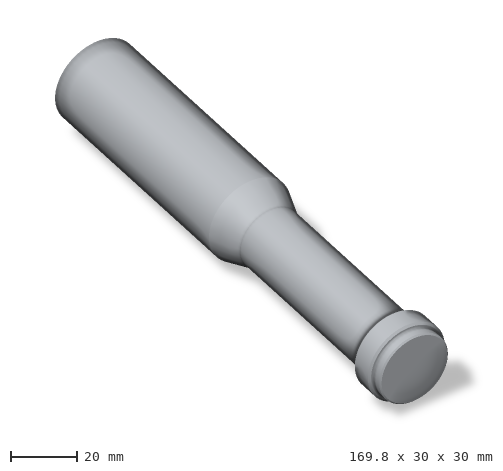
import cadquery as cq

total_length = 169.8
handle_diameter = 30.0
shaft_diameter = 22.0
collar_diameter = 28.2
tip_diameter = 25.1

handle_end = 82.0
taper_end = 92.7
collar_start = 157.7
collar_end = 166.0

collar_chamfer = 0.7
tip_chamfer = 0.5
collar_tip_fillet = 0.5


def cylinder(start, end, diameter):
    """Solid cylinder along X between two positions."""
    return cq.Workplane("YZ", origin=(start, 0, 0)).circle(diameter / 2).extrude(end - start)


def taper(start, end, start_diameter, end_diameter):
    """Solid cone along X joining two diameters."""
    return (
        cq.Workplane("XY")
        .moveTo(start, 0)
        .lineTo(start, start_diameter / 2)
        .lineTo(end, end_diameter / 2)
        .lineTo(end, 0)
        .close()
        .revolve(360, (0, 0, 0), (1, 0, 0))
    )


handle = cylinder(0, handle_end, handle_diameter)
neck = taper(handle_end, taper_end, handle_diameter, shaft_diameter)
shaft = cylinder(taper_end, collar_start, shaft_diameter)

collar = cylinder(collar_start, collar_end, collar_diameter).faces("<X or >X").chamfer(collar_chamfer)
tip = cylinder(collar_end, total_length, tip_diameter).faces(">X").chamfer(tip_chamfer)

result = handle.union(neck).union(shaft).union(collar).union(tip)

corner = cq.selectors.RadiusNthSelector(0)
tip_root = cq.selectors.BoxSelector(
    (collar_end - collar_tip_fillet / 2, -collar_diameter, -collar_diameter),
    (collar_end + collar_tip_fillet / 2, collar_diameter, collar_diameter),
)
result = result.edges(tip_root).edges(corner).fillet(collar_tip_fillet)

result = result.translate((-total_length / 2, 0, 0))